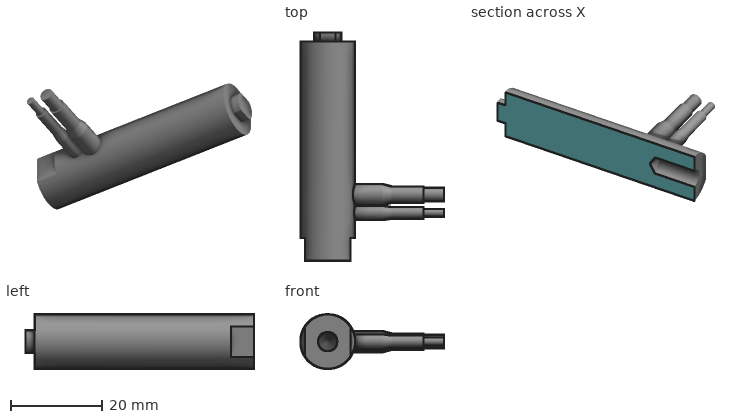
import cadquery as cq
import math

body_diameter = 12.0
body_length = 48.0

flats_width = 10.0
flats_length = 5.0

hole_diameter = 4.2
hole_depth = 10.0
drill_point_angle = 118.0

stud_diameter = 6.0
stud_flats_height = 5.0
stud_length = 2.0

cable_root = 3.0
taper_start = 12.0
taper_end = 14.0
jacket_end = 21.0
cable_end = 25.5

large_cable_y = 14.5
large_sleeve_diameter = 4.7
large_jacket_diameter = 3.6
large_core_diameter = 3.0

small_cable_y = 10.5
small_sleeve_diameter = 3.2
small_jacket_diameter = 2.6
small_core_diameter = 1.8


def cylinder_along_y(diameter, start, length):
    """Solid cylinder on the body axis, running toward +Y from start."""
    base = cq.Workplane("XZ", origin=(0, start, 0))
    return base.circle(diameter / 2).extrude(-length)


def make_body():
    """Cylinder with two flats, facing -X and +X, at the front end."""
    body = cylinder_along_y(body_diameter, 0, body_length)
    flat_depth = (body_diameter - flats_width) / 2
    flat_center = (flats_width + flat_depth) / 2
    for side in (-1, 1):
        cutter = cq.Workplane("XY").box(flat_depth, flats_length, body_diameter)
        body = body.cut(cutter.translate((side * flat_center, flats_length / 2, 0)))
    return body


def make_stud():
    """Rear stud, trimmed to its height across flats."""
    stud = cylinder_along_y(stud_diameter, body_length, stud_length)
    trim = cq.Workplane("XY").box(stud_diameter, stud_length, stud_flats_height)
    return stud.intersect(trim.translate((0, body_length + stud_length / 2, 0)))


def make_hole():
    """Blind hole volume with a conical drill point at the bottom."""
    radius = hole_diameter / 2
    point_length = radius / math.tan(math.radians(drill_point_angle / 2))
    profile = (
        cq.Workplane("XY")
        .moveTo(0, 0)
        .lineTo(radius, 0)
        .lineTo(radius, hole_depth)
        .lineTo(0, hole_depth + point_length)
        .close()
    )
    return profile.revolve(360, (0, 0), (0, 1))


def make_cable(y, sleeve_diameter, jacket_diameter, core_diameter):
    """Sleeve tapering down to the jacket, with the bare core at the end."""
    sleeve_radius = sleeve_diameter / 2
    jacket_radius = jacket_diameter / 2
    core_radius = core_diameter / 2
    profile = (
        cq.Workplane("XY")
        .moveTo(cable_root, 0)
        .lineTo(cable_root, sleeve_radius)
        .lineTo(taper_start, sleeve_radius)
        .lineTo(taper_end, jacket_radius)
        .lineTo(jacket_end, jacket_radius)
        .lineTo(jacket_end, core_radius)
        .lineTo(cable_end, core_radius)
        .lineTo(cable_end, 0)
        .close()
    )
    return profile.revolve(360, (0, 0), (1, 0)).translate((0, y, 0))


large_cable = make_cable(
    large_cable_y, large_sleeve_diameter, large_jacket_diameter, large_core_diameter
)
small_cable = make_cable(
    small_cable_y, small_sleeve_diameter, small_jacket_diameter, small_core_diameter
)

result = make_body().union(make_stud()).union(large_cable).union(small_cable).cut(make_hole())